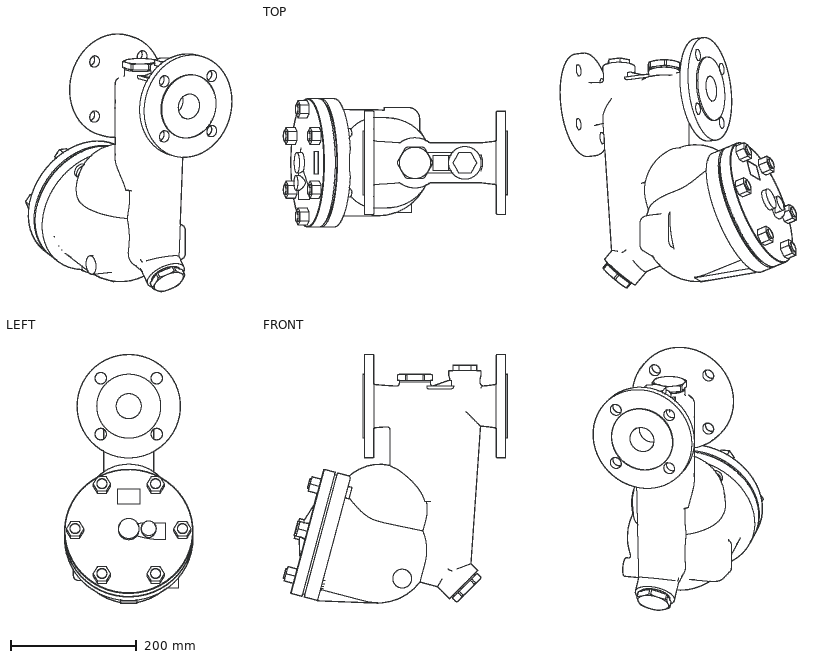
import cadquery as cq
import math


FACE_TO_FACE = 230.0
FLANGE_DIA = 165.0
RAISED_DIA = 102.0
RAISED_HEIGHT = 2.5
FLANGE_THICK = 17.6
FLANGE_EDGE_ROUND = 2.0
FLANGE_BOLT_CIRCLE = 126.0
FLANGE_HOLE_DIA = 18.0
FLANGE_HOLES = 4
BORE_DIA = 40.0
BORE_DEPTH = 50.0
PIPE_R = 32.0
NECK_R = 34.5
INLET_NECK_END = 58.0
OUTLET_NECK_END = 42.0
NECK_FILLET = 3.0

COLUMN_X = 83.0
COLUMN_R = 40.0
COLUMN_TOP = 24.0
COLUMN_BOTTOM = -152.0
COLUMN_SHOULDER = 10.0
COLUMN_PIPE_BLEND = 4.0
WEB_BLEND = 3.0

PLUG_SEAT_R = 25.0
PLUG_SEAT_TOP = 38.5
PLUG_FLATS = 50.0
PLUG_CORNER_DIA = 56.0
PLUG_NECK_DIA = 49.5
PLUG_NECK = 2.5
PLUG_HEX = 10.0

VALVE_X = 162.5
VALVE_R = 24.2
VALVE_RIM_DIA = 52.0
VALVE_FLARE_START = 43.0
VALVE_RIM_BOTTOM = 49.5
VALVE_RIM_TOP = 56.5
VALVE_RIM_ROUND = 1.5
VALVE_HEX_FLATS = 33.0
VALVE_TOP = 65.3
VALVE_BLEND = 6.0

RIB_BASE_WIDTH = 33.0
RIB_CREST_WIDTH = 24.0
RIB_LOW = 32.5
RIB_HIGH = 41.0
RIB_SLOPE_START = 112.0
RIB_SLOPE_END = 136.0

LEG_TOP_X = 155.5
LEG_BEND_Z = -PIPE_R
LEG_BOTTOM_X = 139.5
LEG_BOTTOM_Z = -262.0
JOINT_X = 135.4
JOINT_Z = -259.1
BRANCH_ANGLE = 45.0
BRANCH_LENGTH = 35.5

TILT = 15.0
COVER_X = -88.7
COVER_Z = -199.2
COVER_DIA = 205.0
COVER_THICK = 19.0
COVER_CHAMFER = 1.0
GASKET_THICK = 3.5
GASKET_DIA = 197.0
BODY_FLANGE_END = 44.5
BODY_FLANGE_FILLET = 3.5
BODY_NECK_R = 85.0
BODY_NECK_END = 65.7
BODY_R = 84.7
BODY_CENTRE = 116.0
DOME_R = 72.0
DOME_START = 102.5
DOME_START_HEIGHT = 63.6
DOME_SHIFT = 11.3

CONE_BASE_R = 45.0
CONE_TOP_R = 16.5
CONE_HEIGHT = 9.0
KNOB_DIA = 33.0
KNOB_HEIGHT = 17.0
PIN_DIA = 24.0
PIN_HEIGHT = 18.5
PIN_OFFSET = 31.8
OUTLET_DIA = 27.0
OUTLET_LENGTH = 58.7
PLATE_WIDTH = 36.0
PLATE_LENGTH = 25.0
PLATE_CENTRE = 57.0
PLATE_THICK = 0.5
STUDS = 6
STUD_CIRCLE = 171.0
STUD_DIA = 16.0
STUD_HEIGHT = 17.5
NUT_FLATS = 24.0
NUT_HEIGHT = 15.0
STUD_BOSS_DIA = 24.0
STUD_BOSS_END = 51.0

SIDE_X = 62.7
DRAIN_Z = -274.6
DRAIN_DIA = 30.0
DRAIN_REACH = 79.5
REAR_END_X = 90.7
REAR_Z = -250.0
REAR_WIDTH = 57.0
REAR_DEPTH = 56.0
REAR_REACH = 88.5
REAR_CORNER = 19.0
REAR_EDGE = 9.0
BOSS_BLEND = 3.0

FOOT_WIDTH = 26.0
FOOT_START_X = -72.5
FOOT_START_Z = -310.2


def rod(start, direction, radius, length):
    """Solid cylinder from a start point."""
    return cq.Workplane(obj=cq.Solid.makeCylinder(radius, length, cq.Vector(*start), cq.Vector(*direction)))


def hexagon(flats, height):
    """Hexagonal prism on the XY plane with corners on the X axis."""
    corner_dia = flats / math.cos(math.radians(30))
    return cq.Workplane().polygon(6, corner_dia).extrude(height)


def plug():
    """Hexagon plug with a round neck, its seat at the origin."""
    neck = cq.Workplane().circle(PLUG_NECK_DIA / 2).extrude(PLUG_NECK)
    limit = cq.Workplane().circle(PLUG_CORNER_DIA / 2).extrude(PLUG_HEX).faces(">Z").chamfer(1.0, 3.0)
    head = hexagon(PLUG_FLATS, PLUG_HEX).intersect(limit)
    return neck.union(head.translate((0, 0, PLUG_NECK)))


def pipe_flange(neck_end):
    """Flange with its tapered neck; the sealing face is at X = 0."""
    profile = [
        (0, 0),
        (0, RAISED_DIA / 2),
        (RAISED_HEIGHT, RAISED_DIA / 2),
        (RAISED_HEIGHT, FLANGE_DIA / 2),
        (FLANGE_THICK - FLANGE_EDGE_ROUND, FLANGE_DIA / 2),
    ]
    body = (
        cq.Workplane("XY")
        .polyline(profile)
        .radiusArc((FLANGE_THICK, FLANGE_DIA / 2 - FLANGE_EDGE_ROUND), FLANGE_EDGE_ROUND)
        .lineTo(FLANGE_THICK, NECK_R + NECK_FILLET)
        .radiusArc((FLANGE_THICK + NECK_FILLET, NECK_R), -NECK_FILLET)
        .lineTo(neck_end, PIPE_R)
        .lineTo(neck_end, 0)
        .close()
        .revolve(360, (0, 0, 0), (1, 0, 0))
    )
    for i in range(FLANGE_HOLES):
        angle = 2 * math.pi * (i + 0.5) / FLANGE_HOLES
        y = FLANGE_BOLT_CIRCLE / 2 * math.cos(angle)
        z = FLANGE_BOLT_CIRCLE / 2 * math.sin(angle)
        body = body.cut(rod((0, y, z), (1, 0, 0), FLANGE_HOLE_DIA / 2, FLANGE_THICK))
    return body


def column():
    """Round column with a shouldered top, a short plug seat above it."""
    shoulder_r = COLUMN_R - COLUMN_SHOULDER
    fillet = shoulder_r - PLUG_SEAT_R
    return (
        cq.Workplane("XZ", origin=(COLUMN_X, 0, 0))
        .moveTo(0, COLUMN_BOTTOM)
        .lineTo(COLUMN_R, COLUMN_BOTTOM)
        .lineTo(COLUMN_R, COLUMN_TOP - COLUMN_SHOULDER)
        .radiusArc((shoulder_r, COLUMN_TOP), -COLUMN_SHOULDER)
        .radiusArc((PLUG_SEAT_R, COLUMN_TOP + fillet), fillet)
        .lineTo(PLUG_SEAT_R, PLUG_SEAT_TOP)
        .lineTo(0, PLUG_SEAT_TOP)
        .close()
        .revolve(360, (0, 0, 0), (0, 1, 0))
    )


def web_blends():
    """Concave corner strips where the column meets the two faces of the web."""
    reach = COLUMN_R + WEB_BLEND
    offset = PIPE_R + WEB_BLEND
    centre_x = COLUMN_X + math.sqrt(reach ** 2 - offset ** 2)
    on_column = (COLUMN_X + (centre_x - COLUMN_X) * COLUMN_R / reach, offset * COLUMN_R / reach)
    strip = (
        cq.Workplane("XY", origin=(0, 0, COLUMN_BOTTOM))
        .moveTo(COLUMN_X, 0)
        .lineTo(*on_column)
        .radiusArc((centre_x, PIPE_R), -WEB_BLEND)
        .lineTo(centre_x, 0)
        .close()
        .extrude(-COLUMN_BOTTOM)
    )
    return strip.union(strip.mirror("XZ"))


def valve_boss():
    """Round boss on the header, flared below its rim."""
    return (
        cq.Workplane("XZ", origin=(VALVE_X, 0, 0))
        .lineTo(VALVE_R, 0)
        .lineTo(VALVE_R, VALVE_FLARE_START)
        .lineTo(VALVE_RIM_DIA / 2, VALVE_RIM_BOTTOM)
        .lineTo(0, VALVE_RIM_BOTTOM)
        .close()
        .revolve(360, (0, 0, 0), (0, 1, 0))
    )


def valve_head():
    """Rim and hexagon head on the valve boss."""
    rim = (
        rod((VALVE_X, 0, VALVE_RIM_BOTTOM), (0, 0, 1), VALVE_RIM_DIA / 2, VALVE_RIM_TOP - VALVE_RIM_BOTTOM)
        .faces(">Z").edges().fillet(VALVE_RIM_ROUND)
    )
    head = hexagon(VALVE_HEX_FLATS, VALVE_TOP - VALVE_RIM_TOP).translate((VALVE_X, 0, VALVE_RIM_TOP))
    return rim.union(head)


def rib():
    """Rib on the header between the column and the valve: a flat base and a narrower sloped crest."""
    base = cq.Workplane("XY").box(VALVE_X - COLUMN_X, RIB_BASE_WIDTH, RIB_LOW, (False, True, False))
    crest = (
        cq.Workplane("XZ")
        .moveTo(RIB_SLOPE_START, RIB_LOW)
        .lineTo(RIB_SLOPE_END, RIB_HIGH)
        .lineTo(VALVE_X, RIB_HIGH)
        .lineTo(VALVE_X, RIB_LOW)
        .close()
        .extrude(RIB_CREST_WIDTH / 2, both=True)
    )
    return base.translate((COLUMN_X, 0, 0)).union(crest)


def blend(solid, low, high, radius):
    """Round the curved intersection edges that lie in the box between two corner points."""
    edges = solid.edges(cq.selectors.BoxSelector(low, high)).edges("not(%CIRCLE or %LINE)")
    return edges.fillet(radius)


def header():
    """Header pipe with its flanges, the column, the valve boss and the rib between them."""
    pipe = rod((FLANGE_THICK, 0, 0), (1, 0, 0), PIPE_R, FACE_TO_FACE - 2 * FLANGE_THICK)
    body = pipe.union(pipe_flange(INLET_NECK_END)).union(column())
    reach = COLUMN_R + COLUMN_PIPE_BLEND
    body = blend(
        body,
        (COLUMN_X - reach, -reach, -reach),
        (COLUMN_X + reach, reach, reach),
        COLUMN_PIPE_BLEND,
    )
    reach = VALVE_R + VALVE_BLEND
    body = blend(
        body.union(valve_boss()),
        (VALVE_X - reach, -reach, 0),
        (VALVE_X + reach, reach, VALVE_FLARE_START),
        VALVE_BLEND,
    )
    cap = plug().translate((COLUMN_X, 0, PLUG_SEAT_TOP))
    body = body.union(rib()).union(valve_head()).union(cap)
    outlet = pipe_flange(OUTLET_NECK_END).mirror("YZ").translate((FACE_TO_FACE, 0, 0))
    return body.union(outlet)


def flow_leg():
    """Slanted leg, lower pipe, strainer branch and the web that joins them to the column."""
    tilt = math.radians(TILT)
    slope = math.radians(BRANCH_ANGLE)
    bend = (LEG_TOP_X, LEG_BEND_Z)
    bottom = (LEG_BOTTOM_X, LEG_BOTTOM_Z)
    joint = (JOINT_X, JOINT_Z)
    inner = (SIDE_X, JOINT_Z + (JOINT_X - SIDE_X) * math.tan(tilt))
    end = (JOINT_X + BRANCH_LENGTH * math.cos(slope), JOINT_Z - BRANCH_LENGTH * math.sin(slope))

    leg_path = cq.Workplane("XZ").polyline([(LEG_TOP_X, 0), bend, bottom])
    leg = cq.Workplane("XY", origin=(LEG_TOP_X, 0, 0)).circle(PIPE_R).sweep(leg_path, transition="right")

    lower_path = cq.Workplane("XZ").polyline([inner, joint, end])
    lower_start = cq.Plane((inner[0], 0, inner[1]), (0, 1, 0), (math.cos(tilt), 0, -math.sin(tilt)))
    lower = cq.Workplane(lower_start).circle(PIPE_R).sweep(lower_path, transition="right")

    web = (
        cq.Workplane("XZ")
        .polyline([(COLUMN_X, 0), (LEG_TOP_X, 0), bend, bottom, joint, inner])
        .close()
        .extrude(PIPE_R, both=True)
    )
    cap = plug().rotate((0, 0, 0), (0, 1, 0), 90 + BRANCH_ANGLE).translate((end[0], 0, end[1]))
    return leg.union(lower).union(web).union(cap)


def trap_shell():
    """Cover, gasket and body revolved about X, with the dome above the axis."""
    cover_r = COVER_DIA / 2
    gasket_r = GASKET_DIA / 2
    diagonal = BODY_R * math.sqrt(0.5)
    gasket_end = COVER_THICK + GASKET_THICK
    shell = (
        cq.Workplane("XY")
        .polyline([
            (0, 0),
            (0, cover_r - COVER_CHAMFER),
            (COVER_CHAMFER, cover_r),
            (COVER_THICK, cover_r),
            (COVER_THICK, gasket_r),
            (gasket_end, gasket_r),
            (gasket_end, cover_r),
            (BODY_FLANGE_END, cover_r),
            (BODY_FLANGE_END, BODY_NECK_R + BODY_FLANGE_FILLET),
        ])
        .radiusArc((BODY_FLANGE_END + BODY_FLANGE_FILLET, BODY_NECK_R), -BODY_FLANGE_FILLET)
        .lineTo(BODY_NECK_END, BODY_NECK_R)
        .lineTo(BODY_CENTRE, BODY_R)
        .threePointArc((BODY_CENTRE + diagonal, diagonal), (BODY_CENTRE + BODY_R, 0))
        .close()
        .revolve(360, (0, 0, 0), (1, 0, 0))
    )
    return shell.union(dome())


def dome_end(height):
    """Half-round dome end of a given centre height, on the -X side of the YZ plane."""
    diagonal = DOME_R * math.sqrt(0.5)
    return (
        cq.Workplane("YZ")
        .lineTo(DOME_R, 0)
        .lineTo(DOME_R, height)
        .threePointArc((diagonal, height + diagonal), (0, height + DOME_R))
        .close()
        .revolve(180, (0, 0, 0), (0, 1, 0))
    )


def arch_wire(x, height):
    outline = (
        cq.Workplane("YZ", origin=(x, 0, 0))
        .moveTo(-DOME_R, 0)
        .lineTo(-DOME_R, height)
        .threePointArc((0, height + DOME_R), (DOME_R, height))
        .lineTo(DOME_R, 0)
        .close()
    )
    return outline.val()


def dome():
    """Dome standing on the body axis: two half-round ends and a short arched stretch between them."""
    tilt = math.radians(TILT)
    end = DOME_START + DOME_SHIFT * math.cos(tilt)
    end_height = DOME_START_HEIGHT + DOME_SHIFT * math.sin(tilt)
    wires = [arch_wire(DOME_START, DOME_START_HEIGHT), arch_wire(end, end_height)]
    arch = cq.Workplane(obj=cq.Solid.makeLoft(wires, True))
    cover_end = dome_end(DOME_START_HEIGHT).translate((DOME_START, 0, 0))
    far_end = dome_end(end_height).rotate((0, 0, 0), (0, 0, 1), 180).translate((end, 0, 0))
    return arch.union(cover_end).union(far_end)


def cover_details():
    """Cone, knob, pin, side outlet and name plate on the cover face."""
    outward = (-1, 0, 0)
    cone = cq.Workplane(
        obj=cq.Solid.makeCone(CONE_BASE_R, CONE_TOP_R, CONE_HEIGHT, cq.Vector(), cq.Vector(*outward))
    )
    knob = rod((0, 0, 0), outward, KNOB_DIA / 2, KNOB_HEIGHT)
    pin = rod((0, -PIN_OFFSET, 0), outward, PIN_DIA / 2, PIN_HEIGHT)
    outlet = rod((0, 0, 0), (0, -1, 0), OUTLET_DIA / 2, OUTLET_LENGTH)
    plate = cq.Workplane("XY").box(2 * PLATE_THICK, PLATE_WIDTH, PLATE_LENGTH).translate((0, 0, PLATE_CENTRE))
    return cone.union(knob).union(pin).union(outlet).union(plate)


def cover_studs():
    """Studs and nuts around the cover, and bosses behind the two upper studs."""
    nut = hexagon(NUT_FLATS, NUT_HEIGHT).rotate((0, 0, 0), (0, 0, 1), 90).rotate((0, 0, 0), (0, 1, 0), -90)
    studs = cq.Workplane("XY")
    for i in range(STUDS):
        angle = 2 * math.pi * i / STUDS
        y = STUD_CIRCLE / 2 * math.cos(angle)
        z = STUD_CIRCLE / 2 * math.sin(angle)
        studs = studs.add(nut.translate((0, y, z)))
        studs = studs.add(rod((0, y, z), (-1, 0, 0), STUD_DIA / 2, STUD_HEIGHT))
        if z > STUD_DIA:
            start = COVER_THICK + GASKET_THICK
            studs = studs.add(rod((start, y, z), (1, 0, 0), STUD_BOSS_DIA / 2, STUD_BOSS_END - start))
    return studs.combine()


def side_bosses():
    """Round drain boss on -Y and rounded rectangular boss on +Y."""
    drain = rod((SIDE_X, 0, DRAIN_Z), (0, -1, 0), DRAIN_DIA / 2, DRAIN_REACH)
    rear = cq.Workplane("XY").box(REAR_WIDTH, REAR_REACH, REAR_DEPTH, (False, False, True))
    rear = rear.edges("|Z and >X and >Y").fillet(REAR_CORNER)
    rear = rear.edges("(>Z or <Z) and (not <Y) and (not <X)").fillet(REAR_EDGE)
    return drain.union(rear.translate((REAR_END_X - REAR_WIDTH, 0, REAR_Z)))


def trap():
    """The complete trap, tilted to its place below the header, with its side bosses blended in."""
    unit = trap_shell().union(cover_details()).union(cover_studs())
    unit = unit.rotate((0, 0, 0), (0, 1, 0), TILT).translate((COVER_X, 0, COVER_Z))
    unit = unit.union(side_bosses())
    reach = DRAIN_DIA / 2 + BOSS_BLEND
    unit = blend(
        unit,
        (SIDE_X - reach, -DRAIN_REACH, DRAIN_Z - reach),
        (SIDE_X + reach, -DRAIN_DIA, DRAIN_Z + reach),
        BOSS_BLEND,
    )
    reach = REAR_DEPTH / 2 + BOSS_BLEND
    return blend(
        unit,
        (REAR_END_X - REAR_WIDTH - BOSS_BLEND, REAR_CORNER, REAR_Z - reach),
        (REAR_END_X + BOSS_BLEND, REAR_REACH, REAR_Z + reach),
        BOSS_BLEND,
    )


def foot():
    """Rib under the body, from the body flange to the lowest point of the sphere."""
    tilt = math.radians(TILT)
    centre_x = COVER_X + BODY_CENTRE * math.cos(tilt)
    centre_z = COVER_Z - BODY_CENTRE * math.sin(tilt)
    outline = [
        (FOOT_START_X, FOOT_START_Z),
        (centre_x, centre_z - BODY_R),
        (centre_x, centre_z),
        (FOOT_START_X + BODY_R * math.sin(tilt), FOOT_START_Z + BODY_R * math.cos(tilt)),
    ]
    return cq.Workplane("XZ").polyline(outline).close().extrude(FOOT_WIDTH / 2, both=True)


def bores():
    """Round blind bores in both flange faces."""
    inlet = rod((0, 0, 0), (1, 0, 0), BORE_DIA / 2, BORE_DEPTH)
    return inlet.union(rod((FACE_TO_FACE, 0, 0), (-1, 0, 0), BORE_DIA / 2, BORE_DEPTH))


result = trap().union(flow_leg()).union(web_blends()).union(header()).union(foot()).cut(bores())